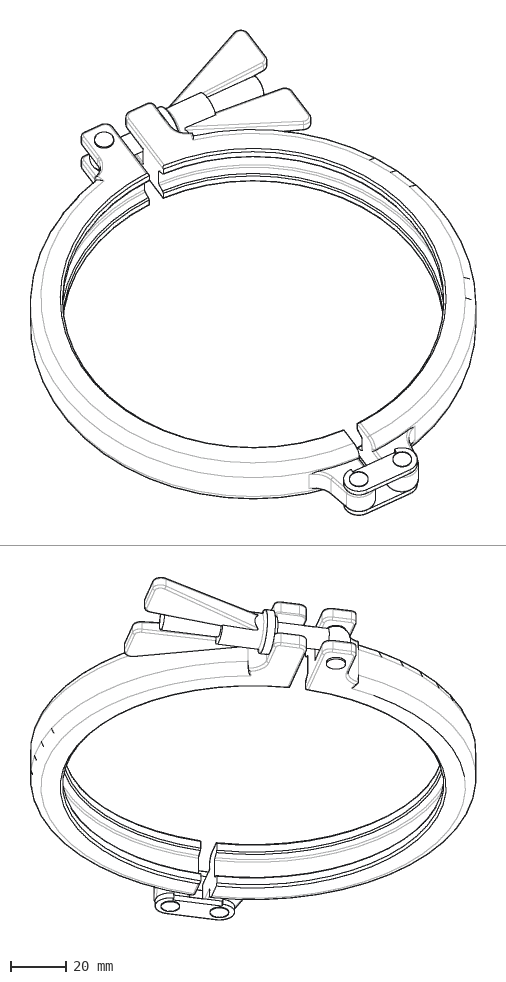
import cadquery as cq
import math

ring_outer_radius = 80.9
bore_radius = 69.2
ring_height = 18.5
outer_round = 3.8
half_gap = 3.0
bore_chamfer = 0.9
groove_depth = 3.5
groove_mouth_width = 9.8
groove_floor_width = 7.7
groove_mouth_chamfer = 0.6
groove_floor_fillet = 0.9
edge_fillet = 0.9

half_height = ring_height / 2
inner_stock_radius = bore_radius - 3.2

pivot_x = 90.9
pivot_y = 9.2
clasp_blend_radius = 7.0
hinge_blend_radius = 8.0

clasp_end_x = -98.3
clasp_top_y = 15.3
clasp_outer_corner_radius = 2.1
clasp_gap_corner_radius = 3.2
upper_slot_width = 8.3
lower_slot_width = 8.7
upper_slot_fillet = 0.5
slot_end_x = -83.9

hinge_lug_height = 9.5
hinge_lug_radius = 6.0
hinge_lug_slope = 11.5

link_plate_thickness = 2.1
link_end_radius = 5.5
link_waist = 1.3
hinge_pin_radius = 3.5
hinge_head_height = 0.6

bolt_radius = 4.0
bolt_end_y = 55.8
bolt_ball_radius = 5.3
bolt_ball_height = 8.3
bolt_pin_radius = 3.51
overall_height = 21.3
hub_radius = 6.5
hub_top_y = 34.5
flange_radius = 8.0
flange_thickness = 3.0
flange_blend = 1.0
flange_clearance = 0.2
pilot_radius = 6.4
pilot_depth = 1.3

wing_top_y = 64.5
wing_root_y = 19.5
wing_outer_root = 5.1
wing_outer_tip = 26.8
wing_inner_root = 4.5
wing_inner_tip = 6.5
wing_root_core = 2.1
wing_root_thickness = 7.0
wing_tip_thickness = 4.3
wing_corner_radius = 3.0


def ring_half(rounded_end):
    """Half ring on the +Y side, with stock left inside the bore."""
    ring = (
        cq.Workplane("XY")
        .circle(ring_outer_radius)
        .circle(inner_stock_radius)
        .extrude(half_height, both=True)
        .faces("|Z").edges("%CIRCLE").edges(cq.selectors.RadiusNthSelector(-1))
        .fillet(outer_round)
    )
    size = 2 * ring_outer_radius
    ring = ring.intersect(
        cq.Workplane("XY").box(2 * size, size, size, centered=(True, False, True)).translate((0, half_gap, 0))
    )
    clasp_end = cq.Workplane("XY").box(size, clasp_top_y, size).translate((-size / 2, 0, 0))
    ring = ring.cut(clasp_end)
    if rounded_end:
        ring = ring.faces("<Y").edges().fillet(edge_fillet)
    return ring


def clasp_plate(bottom, height, fillet):
    """Plate with the plan of the clasp lug and rounded edges, from z = bottom upwards."""
    blend_y = clasp_top_y + clasp_blend_radius
    blend_distance = ring_outer_radius + clasp_blend_radius
    blend_x = -math.sqrt(blend_distance**2 - blend_y**2)
    ring_angle = math.atan2(blend_y, blend_x)
    cos_ring, sin_ring = math.cos(ring_angle), math.sin(ring_angle)
    middle_angle = (ring_angle - 3 * math.pi / 2) / 2
    blend_middle = (
        blend_x + clasp_blend_radius * math.cos(middle_angle),
        blend_y + clasp_blend_radius * math.sin(middle_angle),
    )
    return (
        cq.Workplane("XY", origin=(0, 0, bottom))
        .moveTo(clasp_end_x, half_gap)
        .lineTo(clasp_end_x, clasp_top_y)
        .lineTo(blend_x, clasp_top_y)
        .threePointArc(blend_middle, (ring_outer_radius * cos_ring, ring_outer_radius * sin_ring))
        .lineTo(inner_stock_radius * cos_ring, inner_stock_radius * sin_ring)
        .lineTo(-inner_stock_radius, half_gap)
        .close()
        .extrude(height)
        .faces("<X").edges(">Y").fillet(clasp_outer_corner_radius)
        .faces("<X").edges("<Y").fillet(clasp_gap_corner_radius)
        .faces("|Z").edges().fillet(fillet)
    )


def clasp_lug(slot_width, slot_fillet):
    """Forked lug at the -X end: two rounded arms with a slot for the swing bolt."""
    arm_thickness = (ring_height - slot_width) / 2
    fork_length = slot_end_x - clasp_end_x
    fork_space = cq.Workplane("XY").box(2 * fork_length, 4 * clasp_top_y, 2 * ring_height)
    fork_space = fork_space.translate((clasp_end_x, 0, 0))
    lug = clasp_plate(-half_height, ring_height, edge_fillet)
    fork = lug.intersect(fork_space)
    lug = lug.cut(fork_space)
    for bottom in (-half_height, slot_width / 2):
        lug = lug.union(clasp_plate(bottom, arm_thickness, slot_fillet).intersect(fork))
    return lug


def hinge_lug():
    """Rounded lug at the +X end, set between the two link plates."""
    slope = math.radians(hinge_lug_slope)
    normal = (math.sin(slope), math.cos(slope))
    along = (-math.cos(slope), math.sin(slope))
    flank_start = (pivot_x + hinge_lug_radius * normal[0], pivot_y + hinge_lug_radius * normal[1])

    offset = (flank_start[0] + hinge_blend_radius * normal[0], flank_start[1] + hinge_blend_radius * normal[1])
    blend_distance = ring_outer_radius + hinge_blend_radius
    projection = offset[0] * along[0] + offset[1] * along[1]
    flank_length = -projection - math.sqrt(projection**2 - offset[0]**2 - offset[1]**2 + blend_distance**2)
    blend = (offset[0] + flank_length * along[0], offset[1] + flank_length * along[1])
    flank_end = (blend[0] - hinge_blend_radius * normal[0], blend[1] - hinge_blend_radius * normal[1])
    to_ring = (-blend[0] / blend_distance, -blend[1] / blend_distance)
    ring_point = (-ring_outer_radius * to_ring[0], -ring_outer_radius * to_ring[1])
    middle_angle = (math.atan2(-normal[1], -normal[0]) + math.atan2(to_ring[1], to_ring[0])) / 2
    blend_middle = (
        blend[0] + hinge_blend_radius * math.cos(middle_angle),
        blend[1] + hinge_blend_radius * math.sin(middle_angle),
    )

    end_drop = pivot_y - half_gap
    end_x = pivot_x + math.sqrt(max(hinge_lug_radius**2 - end_drop**2, 0))
    root_x = bore_radius + groove_depth + 2.1
    return (
        cq.Workplane("XY")
        .moveTo(root_x, half_gap)
        .lineTo(end_x, half_gap)
        .threePointArc((pivot_x + hinge_lug_radius, pivot_y), flank_start)
        .lineTo(*flank_end)
        .threePointArc(blend_middle, ring_point)
        .lineTo(root_x, ring_point[1])
        .close()
        .extrude(hinge_lug_height / 2, both=True)
        .faces("|Z").edges().fillet(edge_fillet)
    )


def bore():
    """Cutter for the bore, its edge chamfers and the tapered groove."""
    floor_radius = bore_radius + groove_depth
    return (
        cq.Workplane("XZ")
        .polyline([
            (0, -half_height),
            (bore_radius + bore_chamfer, -half_height),
            (bore_radius, -half_height + bore_chamfer),
            (bore_radius, -groove_mouth_width / 2 - groove_mouth_chamfer),
            (bore_radius + groove_mouth_chamfer, -groove_mouth_width / 2),
            (floor_radius, -groove_floor_width / 2),
            (floor_radius, groove_floor_width / 2),
            (bore_radius + groove_mouth_chamfer, groove_mouth_width / 2),
            (bore_radius, groove_mouth_width / 2 + groove_mouth_chamfer),
            (bore_radius, half_height - bore_chamfer),
            (bore_radius + bore_chamfer, half_height),
            (0, half_height),
        ])
        .close()
        .revolve(360, (0, 0, 0), (0, 1, 0))
        .edges(cq.selectors.RadiusNthSelector(-1))
        .fillet(groove_floor_fillet)
    )


def pin_hole(x, radius):
    """Cutter for a pivot hole along Z."""
    return cq.Workplane("XY").center(x, pivot_y).circle(radius).extrude(ring_height, both=True)


def clamp_half(rounded_end, slot_width, slot_fillet):
    """One half clamp on the +Y side, without its clasp details."""
    half = ring_half(rounded_end).union(clasp_lug(slot_width, slot_fillet)).union(hinge_lug()).cut(bore())
    return half.cut(pin_hole(pivot_x, hinge_pin_radius))


def upper_half():
    """+Y half, recessed where the nut flange and the nut pilot seat."""
    half = clamp_half(True, upper_slot_width, upper_slot_fillet)
    seat = cq.Workplane("XZ", origin=(-pivot_x, clasp_top_y, 0))
    spot_face = seat.circle(flange_radius + flange_clearance).extrude(-2 * flange_thickness)
    pilot_bore = seat.circle(pilot_radius).extrude(pilot_depth)
    return half.cut(spot_face).cut(pilot_bore)


def lower_half():
    """-Y half, bored for the pivot pin of the swing bolt."""
    half = clamp_half(False, lower_slot_width, edge_fillet)
    return half.cut(pin_hole(-pivot_x, bolt_pin_radius)).mirror("XZ")


def domed_pin(radius, seat_height, head_height):
    """Pin along Z, centred on the origin; half of each proud head is a dome."""
    dome_height = head_height / 2
    shank = seat_height / 2 + head_height - dome_height
    tip = shank + dome_height
    dome_radius = (radius**2 + dome_height**2) / (2 * dome_height)
    middle = (radius / 2, tip - dome_radius + math.sqrt(dome_radius**2 - radius**2 / 4))
    return (
        cq.Workplane("XZ")
        .moveTo(0, -tip)
        .threePointArc((middle[0], -middle[1]), (radius, -shank))
        .lineTo(radius, shank)
        .threePointArc(middle, (0, tip))
        .close()
        .revolve(360, (0, 0, 0), (0, 1, 0))
    )


def hinge_link():
    """Two link plates joined by the two hinge pins."""
    plates_height = hinge_lug_height + 2 * link_plate_thickness
    relief = cq.Workplane("XY").box(link_waist, 2 * pivot_y, plates_height)
    relief = relief.translate((pivot_x - link_end_radius + link_waist / 2, 0, 0))
    link = (
        cq.Workplane("XY")
        .center(pivot_x, 0)
        .slot2D(2 * (pivot_y + link_end_radius), 2 * link_end_radius, 90)
        .extrude(plates_height / 2, both=True)
        .cut(relief)
        .cut(cq.Workplane("XY").box(4 * pivot_x, 4 * pivot_y, hinge_lug_height))
    )
    pin = domed_pin(hinge_pin_radius, plates_height, hinge_head_height)
    for y in (-pivot_y, pivot_y):
        link = link.union(pin.translate((pivot_x, y, 0)))
    return link


def wing():
    """Right wing of the nut, with the bolt axis on Y; thinner towards its tip."""
    outline = (
        cq.Workplane("XY")
        .polyline([
            (wing_root_core, wing_root_y),
            (wing_outer_root, wing_root_y),
            (wing_outer_tip, wing_top_y),
            (wing_inner_tip, wing_top_y),
            (wing_inner_root, hub_top_y),
            (wing_root_core, hub_top_y - wing_root_core),
        ])
        .close()
        .extrude(wing_root_thickness, both=True)
        .faces(">Y").edges("|Z").fillet(wing_corner_radius)
    )
    taper = (
        cq.Workplane("YZ")
        .polyline([
            (wing_root_y, -wing_root_thickness / 2),
            (wing_top_y, -wing_tip_thickness / 2),
            (wing_top_y, wing_tip_thickness / 2),
            (wing_root_y, wing_root_thickness / 2),
        ])
        .close()
        .extrude(wing_outer_tip)
    )
    plate = outline.intersect(taper)
    return plate.faces(">Z or <Z").edges().fillet(edge_fillet)


def swing_bolt():
    """Eye bolt with its pivot pin and the wing nut on it."""
    flange_top = clasp_top_y + flange_thickness
    blend_corner = flange_blend * (1 - math.sqrt(0.5))
    turned = (
        cq.Workplane("XY")
        .moveTo(0, -pivot_y)
        .lineTo(bolt_radius, -pivot_y)
        .lineTo(bolt_radius, clasp_top_y - pilot_depth)
        .lineTo(pilot_radius, clasp_top_y - pilot_depth)
        .lineTo(pilot_radius, clasp_top_y)
        .lineTo(flange_radius, clasp_top_y)
        .lineTo(flange_radius, flange_top)
        .lineTo(hub_radius + flange_blend, flange_top)
        .threePointArc(
            (hub_radius + blend_corner, flange_top + blend_corner),
            (hub_radius, flange_top + flange_blend),
        )
        .lineTo(hub_radius, hub_top_y)
        .lineTo(bolt_radius, hub_top_y)
        .lineTo(bolt_radius, bolt_end_y)
        .lineTo(0, bolt_end_y)
        .close()
        .revolve(360, (0, 0, 0), (0, 1, 0))
    )
    ball_size = 2 * bolt_ball_radius
    ball = cq.Workplane("XY").sphere(bolt_ball_radius)
    ball = ball.intersect(cq.Workplane("XY").box(ball_size, ball_size, bolt_ball_height))
    pin = domed_pin(bolt_pin_radius, ring_height, (overall_height - ring_height) / 2)
    right_wing = wing()
    bolt = (
        turned
        .union(ball.translate((0, -pivot_y, 0)))
        .union(pin.translate((0, -pivot_y, 0)))
        .union(right_wing)
        .union(right_wing.mirror("YZ"))
    )
    return bolt.translate((-pivot_x, 0, 0))


upper = upper_half()
lower = lower_half()
link = hinge_link()
bolt = swing_bolt()

result = cq.Compound.makeCompound([upper.val(), lower.val(), link.val(), bolt.val()])